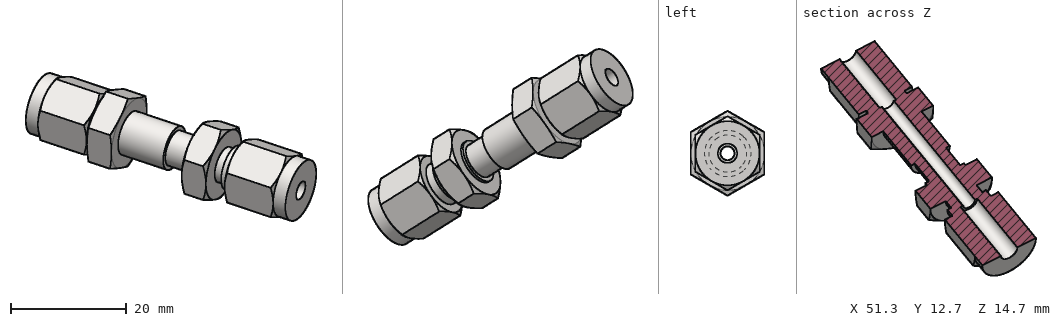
import cadquery as cq
import math

overall_length = 51.3
collar_length = 2.4
nut_length = 9.6
body_hex_start = 12.55
hex_thickness = 4.8
shank_end = 26.3
panel_nut_boss_start = 30.8
panel_nut_start = 31.25
right_shoulder_start = 37.75

nut_flats = 11.1
hex_flats = 12.7
collar_diameter = nut_flats
shank_diameter = 8.0
neck_diameter = 6.45

full_chamfer_angle = 30.0
slight_chamfer_angle = 15.0

bore_diameter = 2.35
socket_diameter = 3.35
socket_depth = 12.7

left_nut_start = collar_length
right_nut_end = overall_length - collar_length
right_nut_start = right_nut_end - nut_length


def cylinder(start, end, diameter):
    """Round bar along X."""
    return (
        cq.Workplane("XZ")
        .moveTo(start, 0)
        .rect(end - start, diameter / 2, centered=False)
        .revolve(360, (0, 0, 0), (1, 0, 0))
    )


def chamfered_hexagon(start, length, flats, chamfer_angle):
    """Hexagonal bar along X, points up and down, with its corners coned off at both ends."""
    corner_radius = flats / math.sqrt(3)
    face_radius = flats / 2
    cone_length = (corner_radius - face_radius) * math.tan(math.radians(chamfer_angle))
    end = start + length
    hexagon = (
        cq.Workplane("YZ", origin=(start, 0, 0))
        .transformed(rotate=(0, 0, 90))
        .polygon(6, 2 * corner_radius)
        .extrude(length)
    )
    envelope = (
        cq.Workplane("XZ")
        .moveTo(start, 0)
        .lineTo(start, face_radius)
        .lineTo(start + cone_length, corner_radius)
        .lineTo(end - cone_length, corner_radius)
        .lineTo(end, face_radius)
        .lineTo(end, 0)
        .close()
        .revolve(360, (0, 0, 0), (1, 0, 0))
    )
    return hexagon.intersect(envelope)


body = cylinder(left_nut_start, right_nut_end, neck_diameter)
body = body.union(cylinder(left_nut_start, shank_end, shank_diameter))
body = body.union(cylinder(panel_nut_boss_start, panel_nut_start, shank_diameter))
body = body.union(cylinder(right_shoulder_start, right_nut_end, shank_diameter))

body = body.union(cylinder(0, left_nut_start, collar_diameter))
body = body.union(cylinder(right_nut_end, overall_length, collar_diameter))

for nut_start in (left_nut_start, right_nut_start):
    body = body.union(chamfered_hexagon(nut_start, nut_length, nut_flats, full_chamfer_angle))
body = body.union(chamfered_hexagon(body_hex_start, hex_thickness, hex_flats, slight_chamfer_angle))
body = body.union(chamfered_hexagon(panel_nut_start, hex_thickness, hex_flats, full_chamfer_angle))

body = body.cut(cylinder(0, overall_length, bore_diameter))
body = body.cut(cylinder(0, socket_depth, socket_diameter))
body = body.cut(cylinder(overall_length - socket_depth, overall_length, socket_diameter))

result = body